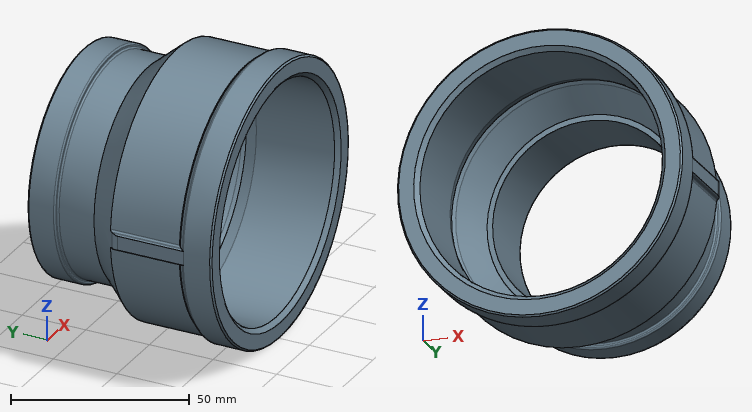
import cadquery as cq
import math

BAND_DIAMETER = 85.0
BODY_DIAMETER = 82.0
NECK_DIAMETER = 66.4
COLLAR_DIAMETER = 69.4
MOUTH_DIAMETER = 75.0
SOCKET_DIAMETER = 72.25
RELIEF_DIAMETER = 73.95
SEAT_DIAMETER = 60.0
BORE_DIAMETER = 56.7

LENGTH = 61.8
BAND_END = 9.0
BODY_START = 10.6
SHOULDER_START = 32.5
SHOULDER_END = 41.6
COLLAR_START = 53.0
SOCKET_END = 25.9
RELIEF_END = 29.5
TAPER_START = 30.5
SEAT_DEPTH = 39.35

EDGE_CHAMFER = 0.5
MOUTH_CHAMFER = (MOUTH_DIAMETER - SOCKET_DIAMETER) / 2
STEP_ROUND = 0.5
CORNER_REACH = 0.1

RIB_WIDTH = 5.0
RIB_START = 4.25
RIB_ROUND = 0.6
RIB_END_ROUND = 3.2
RIB_EMBED = 2.55


def revolve_about_y(points):
    """Revolve a closed (radius, Y) outline around the Y axis."""
    outline = cq.Workplane("XY").polyline(points).close()
    solid = outline.revolve(360, (0, 0, 0), (0, 1, 0))
    return solid.rotate((0, 0, 0), (0, 1, 0), 90)


def outer_shell():
    band = BAND_DIAMETER / 2
    body = BODY_DIAMETER / 2
    neck = NECK_DIAMETER / 2
    collar = COLLAR_DIAMETER / 2
    shell = revolve_about_y([
        (0, 0),
        (band, 0),
        (band, BAND_END),
        (body, BODY_START),
        (body, SHOULDER_START),
        (neck, SHOULDER_END),
        (neck, COLLAR_START),
        (collar, COLLAR_START),
        (collar, LENGTH),
        (0, LENGTH),
    ])
    shell = shell.faces("<Y or >Y").edges().chamfer(EDGE_CHAMFER)
    step_corners = [
        (band, BAND_END),
        (body, BODY_START),
        (neck, COLLAR_START),
        (collar, COLLAR_START),
    ]
    for radius, station in step_corners:
        rim_point = cq.Vertex.makeVertex(radius, station, 0)
        rims = shell.edges("%CIRCLE").filter(lambda edge: edge.distance(rim_point) < CORNER_REACH)
        shell = rims.fillet(STEP_ROUND)
    return shell


def rib_envelope():
    """Band cylinder closed by the shoulder cone continued outward, with a rounded rim."""
    top = BAND_DIAMETER / 2
    neck = NECK_DIAMETER / 2
    shoulder_slope = (SHOULDER_END - SHOULDER_START) / (BODY_DIAMETER / 2 - neck)
    rim_station = SHOULDER_END - (top - neck) * shoulder_slope
    envelope = revolve_about_y([
        (0, RIB_START),
        (top, RIB_START),
        (top, rim_station),
        (neck, SHOULDER_END),
        (0, SHOULDER_END),
    ])
    rim = cq.selectors.RadiusNthSelector(-1)
    return envelope.faces("%CONE").edges(rim).fillet(RIB_END_ROUND)


def grip_ribs():
    """Two ribs level with the band, with rounded top edges and feet."""
    half_width = RIB_WIDTH / 2
    half_top = half_width - RIB_ROUND
    half_foot = half_width + RIB_ROUND
    top = BAND_DIAMETER / 2
    foot = math.sqrt((BODY_DIAMETER / 2) ** 2 - half_foot ** 2)
    base = foot - RIB_EMBED
    bar = (
        cq.Workplane("XZ")
        .moveTo(base, -half_foot)
        .lineTo(foot, -half_foot)
        .radiusArc((foot + RIB_ROUND, -half_width), RIB_ROUND)
        .lineTo(top - RIB_ROUND, -half_width)
        .radiusArc((top, -half_top), -RIB_ROUND)
        .lineTo(top + RIB_EMBED, -half_top)
        .lineTo(top + RIB_EMBED, half_top)
        .lineTo(top, half_top)
        .radiusArc((top - RIB_ROUND, half_width), -RIB_ROUND)
        .lineTo(foot + RIB_ROUND, half_width)
        .radiusArc((foot, half_foot), RIB_ROUND)
        .lineTo(base, half_foot)
        .close()
        .extrude(-SHOULDER_END)
    )
    rib = bar.intersect(rib_envelope())
    return rib.union(rib.mirror("YZ"))


def bore():
    socket = SOCKET_DIAMETER / 2
    return revolve_about_y([
        (0, 0),
        (MOUTH_DIAMETER / 2, 0),
        (socket, MOUTH_CHAMFER),
        (socket, SOCKET_END),
        (RELIEF_DIAMETER / 2, RELIEF_END),
        (socket, TAPER_START),
        (SEAT_DIAMETER / 2, SEAT_DEPTH),
        (BORE_DIAMETER / 2, SEAT_DEPTH),
        (BORE_DIAMETER / 2, LENGTH),
        (0, LENGTH),
    ])


result = outer_shell().union(grip_ribs()).cut(bore())